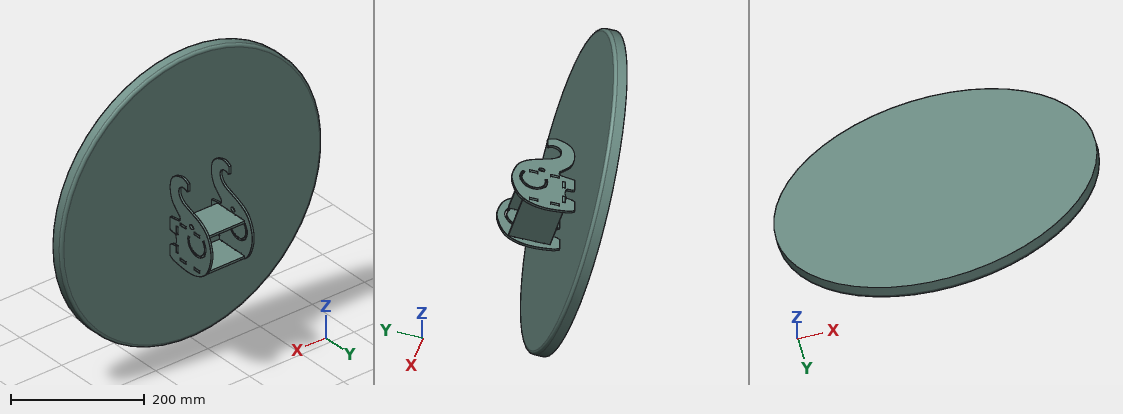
import cadquery as cq
import math

TOP_RADIUS = 250.0
TOP_THICKNESS = 20.0
TOP_BACK_ROUND = 5.0

SHEET = 4.0
EDGE_BREAK = 0.25
PANEL_SPAN = 75.0

PANEL_DEPTH = 65.0
PANEL_FRONT_Y = 15.0
TAB_LENGTH = 13.0
TAB_OFFSET = 16.5
LEVEL_SPACING = 62.0
FRAME_Z = -52.5

EYE_CENTER = (51.5, -13.5)
EYE_WIDTH = 9.0
EYE_HEIGHT = 7.0
EAR_CENTER = (64.0, -38.0)
EAR_RADIUS = 20.0
EAR_SLOT = 3.0
EAR_START_ANGLE = 40.0
EAR_END_ANGLE = -193.0

PANEL_MID_Y = PANEL_FRONT_Y + PANEL_DEPTH / 2
FRONT_PANEL_Y = PANEL_FRONT_Y + SHEET / 2
FRONT_PANEL_HEIGHT = LEVEL_SPACING - SHEET
LEVELS = (FRAME_Z - LEVEL_SPACING / 2, FRAME_Z + LEVEL_SPACING / 2)
ASSEMBLY_WIDTH = PANEL_SPAN + 2 * SHEET


def make_tabletop():
    """Disc with a rounded edge on its back face."""
    disc = cq.Workplane("XZ").circle(TOP_RADIUS).extrude(TOP_THICKNESS)
    return disc.faces(">Y").edges().fillet(TOP_BACK_ROUND)


def make_tabs(depth, height, tab_places):
    """Bars through both sides, one for each tab of a panel."""
    tab = cq.Workplane("XY").box(ASSEMBLY_WIDTH, depth, height)
    return [tab.translate((0, y, z)) for y, z in tab_places]


def level_panel_tabs(z):
    tab_places = [(PANEL_MID_Y + side * TAB_OFFSET, z) for side in (-1, 1)]
    return make_tabs(TAB_LENGTH, SHEET, tab_places)


def front_panel_tabs():
    tab_places = [(FRONT_PANEL_Y, FRAME_Z + side * TAB_OFFSET) for side in (-1, 1)]
    return make_tabs(SHEET, TAB_LENGTH, tab_places)


def make_level_panel(z):
    """Horizontal panel between the sides."""
    panel = cq.Workplane("XY").box(PANEL_SPAN, PANEL_DEPTH, SHEET).translate((0, PANEL_MID_Y, z))
    for tab in level_panel_tabs(z):
        panel = panel.union(tab)
    return panel


def make_front_panel():
    """Upright panel that closes the front between the two horizontal ones."""
    panel = cq.Workplane("XY").box(PANEL_SPAN, SHEET, FRONT_PANEL_HEIGHT)
    panel = panel.translate((0, FRONT_PANEL_Y, FRAME_Z))
    for tab in front_panel_tabs():
        panel = panel.union(tab)
    return panel


def make_elephant_blank():
    """Elephant outline in (Y, Z), feet and trunk resting on the tabletop back."""
    outline = (
        cq.Workplane("YZ")
        .moveTo(0, -20.5)
        .lineTo(19.5, -17.5)
        .threePointArc((24.0, -12.5), (22.0, -8.0))
        .lineTo(10.0, 4.0)
        .spline(
            [(4.0, 13.0), (0, 33.0), (8.0, 54.5), (26.5, 62.5), (38.0, 60.5)],
            tangents=[(-1, 1), None, (0, 1), None, None, (1, -0.4)],
            includeCurrent=True,
        )
        .lineTo(42.5, 57.5)
        .lineTo(42.5, 44.5)
        .lineTo(40.5, 43.0)
        .spline(
            [(32.5, 46.0), (23.0, 41.5), (21.0, 33.5), (27.0, 22.0), (42.0, 14.0), (68.0, 4.5), (85.5, -8.0),
             (95.0, -26.0), (98.0, -43.0), (95.0, -61.0), (84.0, -82.5), (61.5, -95.0), (35.0, -97.0),
             (8.0, -93.0)],
            includeCurrent=True,
        )
        .lineTo(0, -89.0)
        .lineTo(0, -69.0)
        .lineTo(4.5, -66.0)
        .lineTo(12.5, -65.0)
        .threePointArc((15.0, -54.5), (13.5, -46.5))
        .lineTo(11.5, -44.5)
        .lineTo(3.5, -44.0)
        .lineTo(0, -42.5)
        .close()
    )
    return outline.extrude(SHEET)


def make_eye():
    eye = cq.Workplane("YZ").center(*EYE_CENTER)
    return eye.ellipse(EYE_WIDTH / 2, EYE_HEIGHT / 2).extrude(SHEET)


def ear_point(radius, angle):
    turn = math.radians(angle)
    return (EAR_CENTER[0] + radius * math.cos(turn), EAR_CENTER[1] + radius * math.sin(turn))


def make_ear():
    """Curved slot that outlines the ear."""
    inner = EAR_RADIUS - EAR_SLOT / 2
    outer = EAR_RADIUS + EAR_SLOT / 2
    middle_angle = (EAR_START_ANGLE + EAR_END_ANGLE) / 2
    return (
        cq.Workplane("YZ")
        .moveTo(*ear_point(inner, EAR_START_ANGLE))
        .threePointArc(ear_point(inner, middle_angle), ear_point(inner, EAR_END_ANGLE))
        .lineTo(*ear_point(outer, EAR_END_ANGLE))
        .threePointArc(ear_point(outer, middle_angle), ear_point(outer, EAR_START_ANGLE))
        .close()
        .extrude(SHEET)
    )


def make_elephant_side(left_x):
    """One elephant side, pierced by the eye, the ear and a slot for every tab."""
    side = make_elephant_blank().cut(make_eye()).cut(make_ear()).translate((left_x, 0, 0))
    tabs = front_panel_tabs()
    for z in LEVELS:
        tabs += level_panel_tabs(z)
    for tab in tabs:
        side = side.cut(tab)
    return side.faces("<X or >X").edges().chamfer(EDGE_BREAK)


tabletop = make_tabletop()
level_panels = [make_level_panel(z) for z in LEVELS]
front_panel = make_front_panel()
elephant_sides = [make_elephant_side(left_x) for left_x in (-ASSEMBLY_WIDTH / 2, PANEL_SPAN / 2)]

result = cq.Compound.makeCompound(
    [tabletop.val(), front_panel.val()]
    + [panel.val() for panel in level_panels]
    + [side.val() for side in elephant_sides]
)